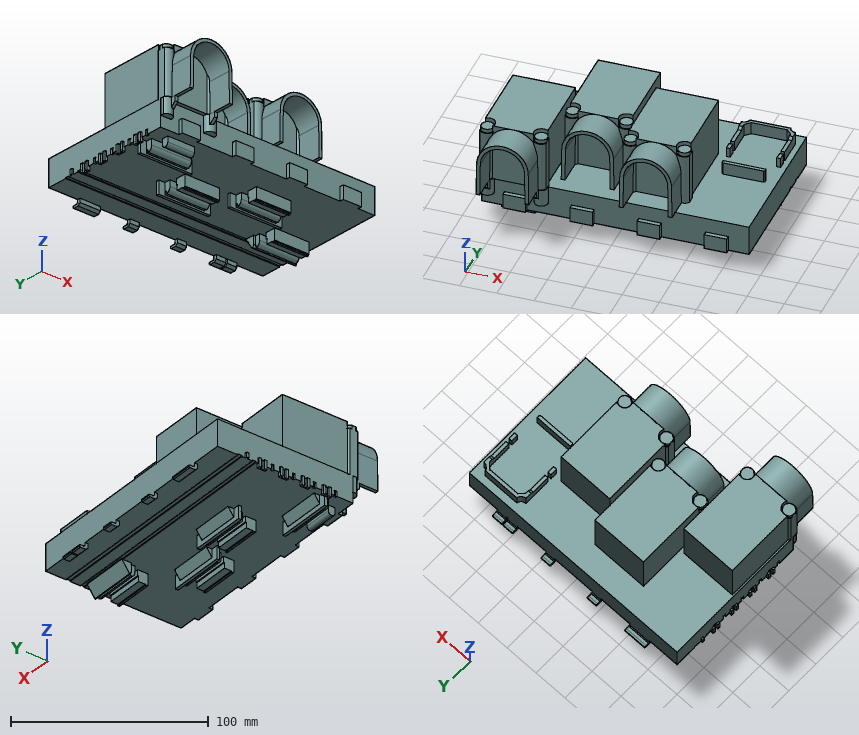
import cadquery as cq
import math

BASE_LENGTH = 143.6
BASE_DEPTH = 86.0
BASE_HEIGHT = 16.6
OVERLAP = 0.7

PITCH = 36.0
FIRST_CENTRE = 17.8
STEP_BACK = 13.6
ROW_STEPS = [0, 2, 1, 3]
CENTRES = [FIRST_CENTRE + PITCH * i for i in range(len(ROW_STEPS))]
SHIFTS = [STEP_BACK * steps for steps in ROW_STEPS]
SOCKETS = list(zip(CENTRES, SHIFTS))[:3]
OPEN_CENTRE = CENTRES[3]
OPEN_SHIFT = SHIFTS[3]

BLOCK_WIDTH = 33.5
BLOCK_DEPTH = 46.5
BLOCK_HEIGHT = 32.2
BLOCK_FRONT = -2.5
TOP = BASE_HEIGHT + BLOCK_HEIGHT

POST_OFFSET = 14.5
POST_SETBACK = 2.0
POST_Y = BLOCK_FRONT + POST_SETBACK
POST_RADIUS = 4.0
POST_FLAT = 3.3
POST_HEIGHT = 28.2
CAP_RADIUS = 3.5
CAP_HEIGHT = 30.4
FOOT_RADIUS = 3.6
FOOT_DROP = 9.8
FOOT_INSET = 0.1

HOOD_FRONT = -18.5
HOOD_RADIUS = 13.9
HOOD_WALL = 2.0
HOOD_FLARE = 0.3
SPRING_Z = TOP - HOOD_RADIUS
LEG_FRONT = -7.0
LEG_DROP = 3.0
LEG_TIP_Y = -3.8
LEG_TIP_DROP = 5.8

TAB_WIDTH = 12.1
TAB_HEIGHT = 8.4
TAB_DEPTH = 2.5
TAB_CENTRE = 18.4

HOOK_SPANS = [(19.2, 33.0), (52.8, 59.0), (84.6, 90.8), (110.6, 117.1), (118.0, 124.5)]
HOOK_REACH = 3.5
HOOK_WALL = 2.0
HOOK_DROP = 3.9
HOOK_TOE_DROP = 2.3
HOOK_BEVEL = 0.6
HOOK_HEEL_BEVEL = 1.5
HOOK_TIP_SLOPE = 1.2
HOOK_TIP_FALL = 0.3

RIB_DEPTH = 1.0
RIB_WIDTH = 1.6
RIB_TOP = 3.0
RIB_DROP = 2.5
RIB_FIRST_Y = 15.3
RIB_GAP = 3.5
WEB_INSET = 0.3
SHORT_RIB_Y = 67.7
NOTCH_FIRST_Y = 11.0
NOTCH_STEP = 13.3
NOTCH_DEPTH = 1.2

LATCH_FRONT = 12.1
LATCH_WIDTH = 26.6
OPEN_LEVER_WIDTH = 29.0
LATCH_DROP = 7.0
CATCH_DEPTH = 3.2
NOSE_START_DROP = 3.8
LATCH_TIP_GAP = 0.6
SPLIT_DROP = 5.2
LEVER_TIP = 0.6
LEVER_REACH = 9.3
BLADE_WIDTH = 34.7
BLADE_Y = 16.9
BLADE_THICKNESS = 1.7
BLADE_DROP = 8.1
BAR_WIDTH = 23.1
BAR_FRONT = BLADE_Y - STEP_BACK
BAR_DEPTH = 4.3
BAR_STEP = 0.6
BAR_STEP_DROP = 3.6
BAR_LIP_DROP = 7.7
BAR_LIP_INSET = 0.6
FIRST_BAR_WIDTH = 17.8
FIRST_BAR_FRONT = 4.8
FIRST_BAR_DEPTH = 4.2
FIRST_BAR_DROP = 5.5
FIRST_BAR_ROUND = 2.0

GROOVE_SPANS = [(61.6, 63.8), (70.5, 73.0)]
GROOVE_DEPTH = 0.6

FRAME_WIDTH = 29.0
FRAME_WALL = 2.0
FRAME_HEIGHT = 6.8
FRAME_LOW_HEIGHT = 5.4
FRAME_BACK = 81.7
FRAME_BACK_WIDTH = 21.8
FRAME_CORNER_Y = 78.8
FRAME_HOLLOW = 1.0
FRAME_INNER_INSET = 1.3
FRAME_STEP_BACK = 74.9
FRAME_STEP_FRONT = 73.3
FRAME_ARM_FRONT = 62.5
STUB_BACK = 60.3
STUB_FRONT = 56.1
PLATE_WIDTH = 23.0
PLATE_BACK = 42.7
PLATE_CHAMFER = 0.6


def box(x0, x1, y0, y1, z0, z1):
    return cq.Workplane("XY").box(x1 - x0, y1 - y0, z1 - z0, centered=False).translate((x0, y0, z0))


def side_profile(points, x0, x1):
    """Extrude a closed (y, z) outline from x0 to x1."""
    return cq.Workplane("YZ").polyline(points).close().extrude(x1 - x0).translate((x0, 0, 0))


def cylinder(x, y, radius, z0, z1):
    return cq.Workplane("XY").circle(radius).extrude(z1 - z0).translate((x, y, z0))


def arch(radius, foot_half, foot_z, y0, y1):
    """Solid arch along Y with legs leaning out to foot_half at foot_z."""
    outline = (
        cq.Workplane("XZ")
        .moveTo(-foot_half, foot_z)
        .lineTo(-radius, SPRING_Z)
        .threePointArc((0, SPRING_Z + radius), (radius, SPRING_Z))
        .lineTo(foot_half, foot_z)
        .close()
    )
    return outline.extrude(y0 - y1).translate((0, y0, 0))


def hood():
    foot = HOOD_RADIUS + HOOD_FLARE
    outer = arch(HOOD_RADIUS, foot, BASE_HEIGHT, HOOD_FRONT, BLOCK_FRONT + OVERLAP)
    inner = arch(HOOD_RADIUS - HOOD_WALL, foot - HOOD_WALL, BASE_HEIGHT, HOOD_FRONT, BLOCK_FRONT)
    return outer.cut(inner)


def post(side):
    x = side * POST_OFFSET
    shaft_top = BASE_HEIGHT + POST_HEIGHT
    shaft = cylinder(x, POST_Y, POST_RADIUS, BASE_HEIGHT, shaft_top)
    cap = cylinder(x, POST_Y, CAP_RADIUS, shaft_top, BASE_HEIGHT + CAP_HEIGHT)
    flat_x = POST_OFFSET + POST_FLAT
    limits = box(-flat_x, flat_x, POST_Y - POST_RADIUS, POST_Y + POST_RADIUS, BASE_HEIGHT, TOP)
    return shaft.union(cap).intersect(limits)


def socket():
    half = BLOCK_WIDTH / 2
    body = box(-half, half, BLOCK_FRONT, BLOCK_FRONT + BLOCK_DEPTH, BASE_HEIGHT, TOP)
    for side in (-1, 1):
        x = side * POST_OFFSET
        body = body.cut(cylinder(x, POST_Y, POST_RADIUS, BASE_HEIGHT, TOP))
        body = body.union(post(side))
    return body.union(hood())


def first_socket_feet():
    """Post feet and hood leg ends that hang below the base top in front of the base."""
    leg = [
        (OVERLAP, BASE_HEIGHT),
        (LEG_FRONT, BASE_HEIGHT),
        (LEG_FRONT, BASE_HEIGHT - LEG_DROP),
        (LEG_TIP_Y, BASE_HEIGHT - LEG_TIP_DROP),
        (OVERLAP, BASE_HEIGHT - LEG_TIP_DROP),
    ]
    leg_inner = HOOD_RADIUS + HOOD_FLARE - HOOD_WALL
    feet = cq.Workplane("XY")
    for side in (-1, 1):
        foot = cylinder(FIRST_CENTRE + side * POST_OFFSET, POST_Y, FOOT_RADIUS,
                        BASE_HEIGHT - FOOT_DROP, BASE_HEIGHT)
        leg_x = FIRST_CENTRE + side * (leg_inner + HOOD_WALL / 2)
        feet = feet.union(foot)
        feet = feet.union(side_profile(leg, leg_x - HOOD_WALL / 2, leg_x + HOOD_WALL / 2))
    return feet.intersect(box(FOOT_INSET, BASE_LENGTH, LEG_FRONT, BASE_DEPTH, 0, BASE_HEIGHT))


def rear_hook(x0, x1):
    tip = BASE_DEPTH + HOOK_REACH
    inside = BASE_DEPTH - HOOK_WALL
    points = [
        (inside, OVERLAP),
        (BASE_DEPTH, OVERLAP),
        (BASE_DEPTH, HOOK_BEVEL - HOOK_TOE_DROP),
        (BASE_DEPTH + HOOK_BEVEL, -HOOK_TOE_DROP),
        (tip - HOOK_TIP_SLOPE, -HOOK_TOE_DROP),
        (tip, -HOOK_TOE_DROP - HOOK_TIP_FALL),
        (tip, HOOK_BEVEL - HOOK_DROP),
        (tip - HOOK_BEVEL, -HOOK_DROP),
        (inside + HOOK_HEEL_BEVEL, -HOOK_DROP),
        (inside, HOOK_HEEL_BEVEL - HOOK_DROP),
    ]
    return side_profile(points, x0, x1)


def latch(centre, shift, lever_width):
    """Round-nosed catch with a sloping lever behind it."""
    front = LATCH_FRONT + shift
    split = front + CATCH_DEPTH
    nose_depth = CATCH_DEPTH - LATCH_TIP_GAP
    nose_height = LATCH_DROP - NOSE_START_DROP
    halfway = math.sqrt(0.5)
    nose_mid = (front + nose_depth * (1 - halfway), -NOSE_START_DROP - nose_height * halfway)
    catch = (
        cq.Workplane("YZ")
        .moveTo(front, OVERLAP)
        .lineTo(front, -NOSE_START_DROP)
        .threePointArc(nose_mid, (split - LATCH_TIP_GAP, -LATCH_DROP))
        .lineTo(split, -SPLIT_DROP)
        .lineTo(split, OVERLAP)
        .close()
        .extrude(LATCH_WIDTH)
        .translate((centre - LATCH_WIDTH / 2, 0, 0))
    )
    lever = [
        (split, OVERLAP),
        (split, -SPLIT_DROP),
        (split + LATCH_TIP_GAP, -LATCH_DROP),
        (split + LATCH_TIP_GAP + LEVER_TIP, -LATCH_DROP),
        (front + LEVER_REACH, 0),
        (front + LEVER_REACH, OVERLAP),
    ]
    return catch.union(side_profile(lever, centre - lever_width / 2, centre + lever_width / 2))


def bar(centre, shift):
    """Deep bar in front of a latch: thin lip under its front, small step on its back."""
    front = BAR_FRONT + shift - BLADE_THICKNESS / 2
    back = BAR_FRONT + shift + BAR_DEPTH + BLADE_THICKNESS / 2
    points = [
        (front, OVERLAP),
        (front, -LATCH_DROP),
        (front + BAR_LIP_INSET, -LATCH_DROP),
        (front + BAR_LIP_INSET, -BAR_LIP_DROP),
        (front + BLADE_THICKNESS, -BAR_LIP_DROP),
        (front + BLADE_THICKNESS, -LATCH_DROP),
        (back, -LATCH_DROP),
        (back, -BAR_STEP_DROP),
        (back + BAR_STEP, -BAR_STEP_DROP),
        (back + BAR_STEP, OVERLAP),
    ]
    return side_profile(points, centre - BAR_WIDTH / 2, centre + BAR_WIDTH / 2)


def first_bar():
    first = box(FIRST_CENTRE - FIRST_BAR_WIDTH / 2, FIRST_CENTRE + FIRST_BAR_WIDTH / 2,
                FIRST_BAR_FRONT, FIRST_BAR_FRONT + FIRST_BAR_DEPTH, -FIRST_BAR_DROP, OVERLAP)
    return first.faces("<Z").edges("|X").fillet(FIRST_BAR_ROUND)


def blade(centre, shift):
    y = BLADE_Y + shift
    return box(centre - BLADE_WIDTH / 2, centre + BLADE_WIDTH / 2,
               y - BLADE_THICKNESS / 2, y + BLADE_THICKNESS / 2, -BLADE_DROP, OVERLAP)


def clip_frame():
    """U-shaped wall with hollow rear corners, lowered arms and a gap before each arm end."""
    half = FRAME_WIDTH / 2
    back_half = FRAME_BACK_WIDTH / 2
    in_half = half - FRAME_WALL
    in_back = FRAME_BACK - FRAME_WALL
    in_back_half = back_half - FRAME_INNER_INSET
    hollow_x = back_half + FRAME_HOLLOW
    hollow_y = FRAME_CORNER_Y + FRAME_HOLLOW
    in_corner_y = FRAME_CORNER_Y - FRAME_WALL
    inner = [(-in_half, STUB_FRONT), (-in_half, in_corner_y), (-in_back_half, in_back),
             (in_back_half, in_back), (in_half, in_corner_y), (in_half, STUB_FRONT)]
    low = BASE_HEIGHT - OVERLAP
    height = FRAME_HEIGHT + OVERLAP
    wall = (
        cq.Workplane("XY")
        .moveTo(-half, STUB_FRONT)
        .lineTo(-half, FRAME_CORNER_Y)
        .threePointArc((-hollow_x, hollow_y), (-back_half, FRAME_BACK))
        .lineTo(back_half, FRAME_BACK)
        .threePointArc((hollow_x, hollow_y), (half, FRAME_CORNER_Y))
        .lineTo(half, STUB_FRONT)
        .close()
        .extrude(height)
    )
    wall = wall.cut(cq.Workplane("XY").polyline(inner).close().extrude(height))
    wall = wall.translate((0, 0, low))
    high_z = BASE_HEIGHT + FRAME_HEIGHT
    low_z = BASE_HEIGHT + FRAME_LOW_HEIGHT
    lowering = [(STUB_FRONT, low_z), (FRAME_STEP_FRONT, low_z),
                (FRAME_STEP_BACK, high_z), (STUB_FRONT, high_z)]
    wall = wall.cut(side_profile(lowering, -half, half))
    return wall.cut(box(-half, half, STUB_BACK, FRAME_ARM_FRONT, low, high_z))


def clip_plate():
    half = PLATE_WIDTH / 2
    plate = box(-half, half, PLATE_BACK - FRAME_WALL, PLATE_BACK,
                BASE_HEIGHT - OVERLAP, BASE_HEIGHT + FRAME_HEIGHT)
    return plate.faces("<Y").edges("|Z").chamfer(PLATE_CHAMFER)


def left_rib(y, drop):
    return box(-RIB_DEPTH, OVERLAP, y - RIB_WIDTH / 2, y + RIB_WIDTH / 2, -drop, RIB_TOP)


def rib_pair(y):
    web = box(WEB_INSET, OVERLAP, y, y + RIB_GAP, -RIB_DROP, RIB_TOP)
    return left_rib(y, RIB_DROP).union(left_rib(y + RIB_GAP, RIB_DROP)).union(web)


result = box(0, BASE_LENGTH, 0, BASE_DEPTH, 0, BASE_HEIGHT)
for step in range(len(CENTRES)):
    notch_y = NOTCH_FIRST_Y + step * NOTCH_STEP
    rib_y = RIB_FIRST_Y + step * STEP_BACK
    result = result.cut(box(0, NOTCH_DEPTH, notch_y - RIB_WIDTH / 2, notch_y + RIB_WIDTH / 2, 0, RIB_TOP))
    result = result.cut(box(0, WEB_INSET, rib_y, rib_y + RIB_GAP, 0, RIB_TOP))
    result = result.union(rib_pair(rib_y))
result = result.union(left_rib(SHORT_RIB_Y, 0))

for i in range(len(CENTRES)):
    tab_x = TAB_CENTRE + i * PITCH - TAB_WIDTH / 2
    result = result.union(box(tab_x, tab_x + TAB_WIDTH, -TAB_DEPTH, OVERLAP, 0, TAB_HEIGHT))
for hook_start, hook_end in HOOK_SPANS:
    result = result.union(rear_hook(hook_start, hook_end))

for centre, shift in SOCKETS:
    result = result.union(socket().translate((centre, shift, 0)))
result = result.union(first_socket_feet())

for groove_front, groove_back in GROOVE_SPANS:
    result = result.cut(box(0, BASE_LENGTH, groove_front, groove_back, 0, GROOVE_DEPTH))
for centre, shift in SOCKETS:
    result = result.union(latch(centre, shift, LATCH_WIDTH))
    result = result.union(blade(centre, shift))
    if shift > 0:
        result = result.union(bar(centre, shift))
result = result.union(first_bar())

result = result.union(latch(OPEN_CENTRE, OPEN_SHIFT, OPEN_LEVER_WIDTH))
result = result.union(bar(OPEN_CENTRE, OPEN_SHIFT))
result = result.union(clip_frame().translate((OPEN_CENTRE, 0, 0)))
result = result.union(clip_plate().translate((OPEN_CENTRE, 0, 0)))